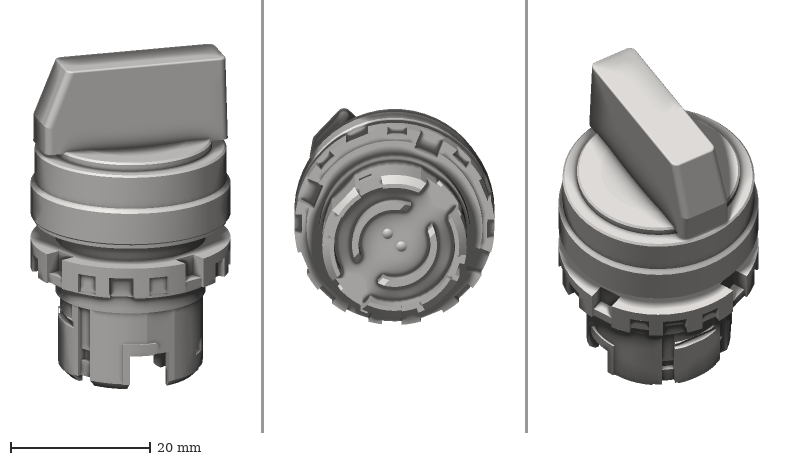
import cadquery as cq
import math

TOTAL_HEIGHT = 47.05
FOOT_TOP = 12.0
FLANGE_BOTTOM = 14.85
NUT_BOTTOM = 15.6
NUT_TOP = 20.0
LIP_BOTTOM = 22.85
BEZEL_BOTTOM = 23.5
BEZEL_STEP = 28.32
HEAD_TOP = 33.88
DISC_TOP = 35.1
HANDLE_BOTTOM = 34.8

BEZEL_RADIUS = 28.8 / 2
BEZEL_EDGE = 0.25
LIP_RADIUS = 27.8 / 2
HEAD_RADIUS = 27.6 / 2
HEAD_EDGE = 0.3
DISC_RADIUS = 23.5 / 2
DISC_EDGE = 0.3
DISH_RADIUS = 8.3
DISH_DEPTH = 0.45
NECK_RADIUS = 10.8
NECK_FLAT_WIDTH = 3.1
NECK_FLAT_BOTTOM = 12.3

HANDLE_WIDTH = 7.75
HANDLE_LENGTH = 27.4
HANDLE_TOP_WIDTH = 7.15
HANDLE_FRONT = -HANDLE_LENGTH / 2
HANDLE_BACK_TOP = 13.4
HANDLE_CORNER = 1.05
HANDLE_EDGE = 0.3
HANDLE_KNEE = 38.9
HANDLE_SLOPE_TOP = -10.4

FLANGE_RADIUS = 12.65
NOTCH_TOP = 18.5
WRENCH_LEDGE = 17.0
WRENCH_WIDTH = 3.45
WRENCH_ANGLE = 24.4
WRENCH_FLOOR = 12.0
WRENCH_LEDGE_RADIUS = 13.85
NOTCH_WIDTH = 2.8
NOTCH_ANGLES = (1.0, 48.2)
NOTCH_FLOOR = 13.3
DEEP_NOTCH_WIDTH = 3.58
DEEP_NOTCH_ANGLE = 69.0
DEEP_NOTCH_FLOOR = 11.75

FOOT_RADIUS = 10.4
FOOT_CHAMFER = 1.1
FOOT_BACK_FLAT = 10.1
SIDE_FLAT_ANGLE = 80.4
SIDE_FLAT_DISTANCE = 10.15
BORE_RADIUS = 8.7
BORE_TOP = 5.4
OUTER_SLOT_WIDTH = 5.95
INNER_SLOT_WIDTH = 4.3
SLEEVE_RADIUS = 6.1
SLEEVE_WALL = 0.95
SLEEVE_BOTTOM = 1.6
SLEEVE_BEVEL_TOP = 2.2
GROOVE_FLOOR = 9.7
GROOVES = ((-28.1, -17.4), (27.5, 40.4))
WINDOW_FLOOR = 8.95
WINDOW_BOTTOM = 3.55
WINDOW_TOP = 5.3
CROWN_GAP_TOP = 1.25
FRONT_GAPS = ((-36.0, -13.2), (21.7, 40.4))
BACK_GAPS = ((-36.0, -13.2), (13.2, 36.0))
PANEL_RADIUS = 10.05
PANEL_END_ANGLE = 20.0
PANEL_FLAT_WIDTH = 2.85
LEDGE_TOP = 9.4
LEDGE_BOTTOM = 8.3
LEDGE_START = -3.1
LEDGE_END = 3.9
LEDGE_FLOOR = 9.45
LEDGE_LEAD_IN = 0.25
TAB_RADIUS = 10.7
TAB_TOP = 7.15
TAB_FRONT = -3.9
TAB_LEG_BACK = -OUTER_SLOT_WIDTH / 2
TAB_TIP = 1.18
TAB_TIP_ROUND = 0.38
TAB_UNDERCUT = 0.65
PLUNGER_OFFSET = 1.35
PLUNGER_RADIUS = 0.75
PLUNGER_DROP = 0.3

CLEARANCE = 2.35


def disc(radius, bottom, top):
    return cq.Workplane("XY").workplane(offset=bottom).circle(radius).extrude(top - bottom)


def block(x_range, y_range, z_range):
    size = [high - low for low, high in (x_range, y_range, z_range)]
    corner = (x_range[0], y_range[0], z_range[0])
    return cq.Workplane("XY").box(*size, centered=False).translate(corner)


def front_block(width, inner, outer, bottom, top, angle=0):
    """Block reaching from inner to outer distance on the -Y side, turned about Z."""
    shape = block((-width / 2, width / 2), (-outer, -inner), (bottom, top))
    return shape.rotate((0, 0, 0), (0, 0, 1), angle)


def polar(radius, angle):
    """Point at an angle counted from -Y toward +X."""
    turn = math.radians(angle)
    return radius * math.sin(turn), -radius * math.cos(turn)


def sector(inner, outer, angles, bottom, top):
    start, end = angles
    middle = (start + end) / 2
    outline = (
        cq.Workplane("XY")
        .workplane(offset=bottom)
        .moveTo(*polar(inner, start))
        .lineTo(*polar(outer, start))
        .threePointArc(polar(outer, middle), polar(outer, end))
        .lineTo(*polar(inner, end))
        .threePointArc(polar(inner, middle), polar(inner, start))
        .close()
    )
    return outline.extrude(top - bottom)


def flat_distance(radius, width):
    """Distance from the axis of a flat of the given width on a cylinder."""
    return math.sqrt(radius**2 - (width / 2) ** 2)


def make_head():
    """Neck, bezel and turning disc, revolved as one profile."""
    step = BEZEL_RADIUS - HEAD_RADIUS
    profile = [
        (0, FOOT_TOP),
        (NECK_RADIUS, FOOT_TOP),
        (NECK_RADIUS, LIP_BOTTOM),
        (LIP_RADIUS, LIP_BOTTOM),
        (LIP_RADIUS, BEZEL_BOTTOM),
        (BEZEL_RADIUS - BEZEL_EDGE, BEZEL_BOTTOM),
        (BEZEL_RADIUS, BEZEL_BOTTOM + BEZEL_EDGE),
        (BEZEL_RADIUS, BEZEL_STEP),
        (HEAD_RADIUS, BEZEL_STEP + step),
        (HEAD_RADIUS, HEAD_TOP - HEAD_EDGE),
        (HEAD_RADIUS - HEAD_EDGE, HEAD_TOP),
        (DISC_RADIUS, HEAD_TOP),
        (DISC_RADIUS, DISC_TOP - DISC_EDGE),
        (DISC_RADIUS - DISC_EDGE, DISC_TOP),
        (0, DISC_TOP),
    ]
    head = cq.Workplane("XZ").polyline(profile).close().revolve(360, (0, 0, 0), (0, 1, 0))
    dish_ball = (DISH_RADIUS**2 + DISH_DEPTH**2) / (2 * DISH_DEPTH)
    dish = cq.Workplane("XY").sphere(dish_ball).translate((0, 0, DISC_TOP - DISH_DEPTH + dish_ball))
    neck_flat = front_block(
        NECK_FLAT_WIDTH,
        flat_distance(NECK_RADIUS, NECK_FLAT_WIDTH),
        NECK_RADIUS + CLEARANCE,
        NECK_FLAT_BOTTOM,
        LIP_BOTTOM,
    )
    return head.cut(dish).cut(neck_flat)


def make_handle():
    """Drafted grip with a sloped nose; the corner rounds run down the nose too."""
    side_outline = [
        (HANDLE_FRONT, HANDLE_BOTTOM),
        (HANDLE_FRONT, HANDLE_KNEE),
        (HANDLE_SLOPE_TOP, TOTAL_HEIGHT),
        (HANDLE_BACK_TOP, TOTAL_HEIGHT),
        (-HANDLE_FRONT, HANDLE_BOTTOM),
    ]
    front_outline = [
        (-HANDLE_WIDTH / 2, HANDLE_BOTTOM),
        (-HANDLE_TOP_WIDTH / 2, TOTAL_HEIGHT),
        (HANDLE_TOP_WIDTH / 2, TOTAL_HEIGHT),
        (HANDLE_WIDTH / 2, HANDLE_BOTTOM),
    ]
    side = cq.Workplane("YZ").polyline(side_outline).close().extrude(HANDLE_WIDTH, both=True)
    front = cq.Workplane("XZ").polyline(front_outline).close().extrude(HANDLE_LENGTH, both=True)
    corners = side.intersect(front).edges("not(#Z or |X or |Y)")
    return corners.fillet(HANDLE_CORNER).faces(">Z").edges().fillet(HANDLE_EDGE)


def make_handle_root():
    """Bridges the dish under the handle."""
    bottom = DISC_TOP - DISH_DEPTH
    half_width = HANDLE_WIDTH / 2
    return block((-half_width, half_width), (-DISH_RADIUS, DISH_RADIUS), (bottom, HANDLE_BOTTOM))


def make_nut():
    nut = disc(BEZEL_RADIUS, NUT_BOTTOM, NUT_TOP).union(disc(FLANGE_RADIUS, FLANGE_BOTTOM, NUT_BOTTOM))
    outside = BEZEL_RADIUS + CLEARANCE
    for quarter in range(4):
        turn = 90 * quarter
        wrench_angle = WRENCH_ANGLE + turn
        nut = nut.cut(
            front_block(WRENCH_WIDTH, WRENCH_FLOOR, outside, WRENCH_LEDGE, NUT_TOP, wrench_angle)
        )
        nut = nut.cut(
            front_block(WRENCH_WIDTH, WRENCH_LEDGE_RADIUS, outside, NUT_BOTTOM, WRENCH_LEDGE, wrench_angle)
        )
        for angle in NOTCH_ANGLES:
            nut = nut.cut(
                front_block(NOTCH_WIDTH, NOTCH_FLOOR, outside, NUT_BOTTOM, NOTCH_TOP, angle + turn)
            )
        deep_angle = DEEP_NOTCH_ANGLE + turn
        nut = nut.cut(
            front_block(DEEP_NOTCH_WIDTH, DEEP_NOTCH_FLOOR, outside, FLANGE_BOTTOM, NOTCH_TOP, deep_angle)
        )
    return nut


def make_tab():
    """L-shaped bayonet tab standing proud of the -X side of the foot."""
    outline = (
        cq.Workplane("YZ")
        .moveTo(TAB_FRONT, FOOT_CHAMFER)
        .lineTo(TAB_FRONT, TAB_TOP)
        .lineTo(TAB_TIP - TAB_TIP_ROUND, TAB_TOP)
        .radiusArc((TAB_TIP, TAB_TOP - TAB_TIP_ROUND), TAB_TIP_ROUND)
        .lineTo(TAB_TIP, BORE_TOP + TAB_UNDERCUT)
        .lineTo(TAB_TIP - TAB_UNDERCUT, BORE_TOP)
        .lineTo(TAB_LEG_BACK, BORE_TOP)
        .lineTo(TAB_LEG_BACK, FOOT_CHAMFER)
        .close()
        .extrude(-TAB_RADIUS - CLEARANCE)
    )
    shell = disc(TAB_RADIUS, FOOT_CHAMFER, TAB_TOP).cut(disc(BORE_RADIUS, FOOT_CHAMFER, TAB_TOP))
    return outline.intersect(shell)


def cut_side_slot(foot):
    """Wide slot through both side walls, along X."""
    reach = TAB_RADIUS + CLEARANCE
    half_width = OUTER_SLOT_WIDTH / 2
    return foot.cut(block((-reach, reach), (-half_width, half_width), (0, BORE_TOP)))


def make_sleeve():
    """Ring hanging in the bore, split along X by a narrower slot with bevelled mouths."""
    wide = OUTER_SLOT_WIDTH / 2
    narrow = INNER_SLOT_WIDTH / 2
    passage = (
        cq.Workplane("YZ")
        .polyline([
            (-wide, SLEEVE_BOTTOM),
            (-narrow, SLEEVE_BEVEL_TOP),
            (-narrow, BORE_TOP),
            (narrow, BORE_TOP),
            (narrow, SLEEVE_BEVEL_TOP),
            (wide, SLEEVE_BOTTOM),
        ])
        .close()
        .extrude(SLEEVE_RADIUS + CLEARANCE, both=True)
    )
    ring = disc(SLEEVE_RADIUS, SLEEVE_BOTTOM, BORE_TOP)
    return ring.cut(disc(SLEEVE_RADIUS - SLEEVE_WALL, SLEEVE_BOTTOM, BORE_TOP)).cut(passage)


def cut_front_panel(foot):
    """Recessed label panel, the ledge groove under it and the flat below."""
    outside = FOOT_RADIUS + CLEARANCE
    panel_angles = (GROOVES[0][1], PANEL_END_ANGLE)
    panel = sector(PANEL_RADIUS, outside, panel_angles, LEDGE_TOP, FOOT_TOP)
    ledge = (
        cq.Workplane("YZ")
        .workplane(offset=LEDGE_START)
        .polyline([
            (-outside, LEDGE_TOP),
            (-PANEL_RADIUS, LEDGE_TOP),
            (-LEDGE_FLOOR, LEDGE_TOP - LEDGE_LEAD_IN),
            (-LEDGE_FLOOR, LEDGE_BOTTOM),
            (-outside, LEDGE_BOTTOM),
        ])
        .close()
        .extrude(LEDGE_END - LEDGE_START)
    )
    flat_floor = flat_distance(FOOT_RADIUS, PANEL_FLAT_WIDTH)
    flat = front_block(PANEL_FLAT_WIDTH, flat_floor, outside, 0, LEDGE_BOTTOM)
    return foot.cut(panel).cut(ledge).cut(flat)


def cut_grooves_and_windows(foot):
    """Front snap grooves, deepened by window pockets, which the back has too."""
    inside = BORE_RADIUS - CLEARANCE
    outside = FOOT_RADIUS + CLEARANCE
    for angles in GROOVES:
        window = sector(WINDOW_FLOOR, outside, angles, WINDOW_BOTTOM, WINDOW_TOP)
        foot = foot.cut(sector(GROOVE_FLOOR, outside, angles, 0, FOOT_TOP))
        foot = foot.cut(window).cut(window.mirror("XZ"))
    for angles in FRONT_GAPS:
        foot = foot.cut(sector(inside, outside, angles, 0, CROWN_GAP_TOP))
    for angles in BACK_GAPS:
        foot = foot.cut(sector(inside, outside, angles, 0, CROWN_GAP_TOP).mirror("XZ"))
    return foot


def make_foot():
    foot = disc(FOOT_RADIUS, 0, FOOT_TOP).faces("<Z").chamfer(FOOT_CHAMFER)
    outside = FOOT_RADIUS + CLEARANCE
    side_flat = front_block(2 * FOOT_RADIUS, SIDE_FLAT_DISTANCE, outside, 0, FOOT_TOP, 180 + SIDE_FLAT_ANGLE)
    foot = foot.cut(side_flat).cut(side_flat.mirror("YZ"))
    foot = foot.cut(front_block(2 * FOOT_RADIUS, FOOT_BACK_FLAT, outside, 0, FOOT_TOP, 180))
    foot = foot.cut(disc(BORE_RADIUS, 0, BORE_TOP))
    foot = cut_side_slot(foot)
    foot = cut_front_panel(foot)
    foot = cut_grooves_and_windows(foot)
    tab = make_tab()
    foot = foot.union(make_sleeve())
    return foot.union(tab).union(tab.mirror("YZ"))


def make_plungers():
    """Two domed plungers hanging from the ceiling of the bore."""
    ball = (PLUNGER_RADIUS**2 + PLUNGER_DROP**2) / (2 * PLUNGER_DROP)
    dome = cq.Workplane("XY").sphere(ball).translate((0, 0, BORE_TOP - PLUNGER_DROP + ball))
    dome = dome.intersect(disc(PLUNGER_RADIUS, BORE_TOP - PLUNGER_DROP, FOOT_TOP))
    front = dome.translate((0, -PLUNGER_OFFSET, 0))
    return front.union(front.mirror("XZ"))


result = make_foot().union(make_plungers()).union(make_head()).union(make_nut())
result = result.union(make_handle_root()).union(make_handle())